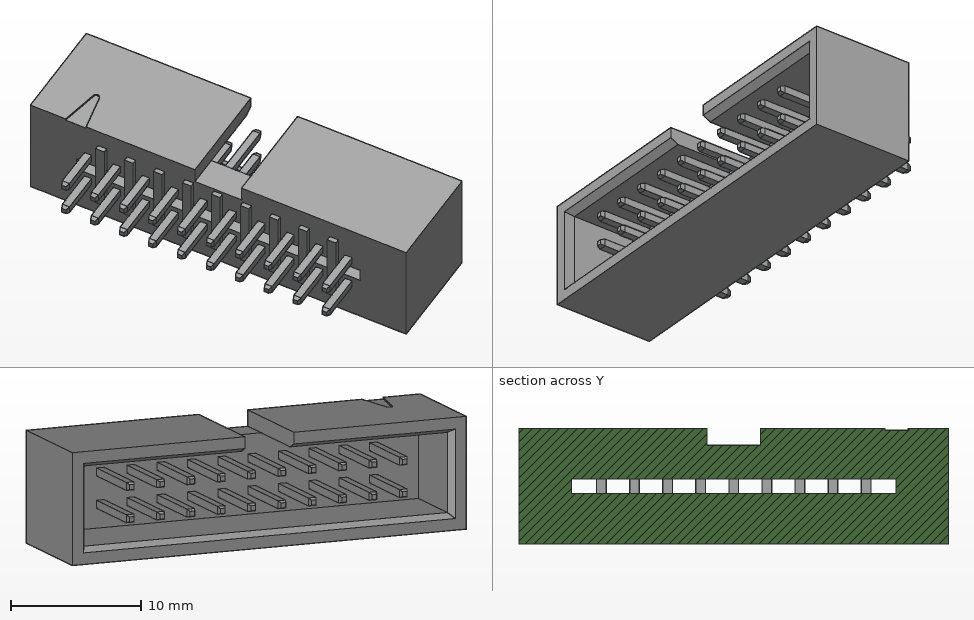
import cadquery as cq
import math


LENGTH = 33.02
DEPTH = 8.88
HEIGHT = 8.88
WALL = 1.3
BASE_THICKNESS = 2.6
LEAD_IN_DEPTH = 0.7
LEAD_IN_WIDTH = 0.35
KEY_SLOT_WIDTH = 4.1

COLUMNS = 10
ROWS = 2
PITCH = 2.55
PIN_SIZE = 0.63
PIN_TIP_SIZE = 0.4
PIN_TIP_LENGTH = 0.33
TAIL_LENGTH = 3.83
MOUTH_CLEARANCE = 0.2

GROOVE_LENGTH = 24.9
GROOVE_HEIGHT = 1.1
GROOVE_DEPTH = BASE_THICKNESS / 2
RIB_WIDTH = 0.75
RIB_HEIGHT = 5.88
RIB_PROJECTION = 0.4

ARROW_OFFSET = 4.0
ARROW_WIDTH = 1.78
ARROW_LENGTH = 3.5
ARROW_TIP_RADIUS = 0.25
ARROW_DEPTH = 0.13


def box(x_size, y_start, y_end, z_size):
    """Box centred on the Y axis, from y_start to y_end."""
    return cq.Workplane("XY").box(x_size, y_end - y_start, z_size).translate((0, (y_start + y_end) / 2, 0))


def tapered_bar(x_start, z_start, y_start, x_end, z_end, y_end):
    """Loft along Y between two rectangles centred on the Y axis."""
    return (
        cq.Workplane("XZ", origin=(0, y_start, 0))
        .rect(x_start, z_start)
        .workplane(offset=y_start - y_end)
        .rect(x_end, z_end)
        .loft(ruled=True)
    )


def centred_positions(count):
    """Positions one pitch apart, centred on zero."""
    return [(i - (count - 1) / 2) * PITCH for i in range(count)]


def make_housing():
    cavity_length = LENGTH - 2 * WALL
    cavity_height = HEIGHT - 2 * WALL
    cavity = box(cavity_length, BASE_THICKNESS, DEPTH, cavity_height)
    lead_in = tapered_bar(
        cavity_length, cavity_height, DEPTH - LEAD_IN_DEPTH,
        cavity_length + 2 * LEAD_IN_WIDTH, cavity_height + 2 * LEAD_IN_WIDTH, DEPTH,
    )
    key_slot = box(KEY_SLOT_WIDTH, 0, DEPTH, WALL).translate((0, 0, (HEIGHT - WALL) / 2))
    groove = box(GROOVE_LENGTH, 0, GROOVE_DEPTH, GROOVE_HEIGHT)
    return box(LENGTH, 0, DEPTH, HEIGHT).cut(cavity).cut(lead_in).cut(key_slot).cut(groove)


def make_arrow():
    """Triangular recess with its base on the rear edge and a rounded tip."""
    half_base = ARROW_WIDTH / 2
    tip_centre = ARROW_LENGTH - ARROW_TIP_RADIUS
    angle_to_tip_centre = math.atan2(half_base, tip_centre)
    lean = angle_to_tip_centre - math.asin(ARROW_TIP_RADIUS / math.hypot(half_base, tip_centre))
    tangent_x = ARROW_TIP_RADIUS * math.cos(lean)
    tangent_y = tip_centre + ARROW_TIP_RADIUS * math.sin(lean)
    return (
        cq.Workplane("XY", origin=(ARROW_OFFSET - LENGTH / 2, 0, HEIGHT / 2))
        .moveTo(-half_base, 0)
        .lineTo(half_base, 0)
        .lineTo(tangent_x, tangent_y)
        .threePointArc((0, ARROW_LENGTH), (-tangent_x, tangent_y))
        .close()
        .extrude(-ARROW_DEPTH)
    )


def make_pin():
    """Square pin with a tapered tip at each end."""
    tail_end = -TAIL_LENGTH
    mating_end = DEPTH - MOUTH_CLEARANCE
    shank_start = tail_end + PIN_TIP_LENGTH
    shank_end = mating_end - PIN_TIP_LENGTH
    shank = box(PIN_SIZE, shank_start, shank_end, PIN_SIZE)
    tail_tip = tapered_bar(PIN_TIP_SIZE, PIN_TIP_SIZE, tail_end, PIN_SIZE, PIN_SIZE, shank_start)
    mating_tip = tapered_bar(PIN_SIZE, PIN_SIZE, shank_end, PIN_TIP_SIZE, PIN_TIP_SIZE, mating_end)
    return shank.union(tail_tip).union(mating_tip)


result = make_housing().cut(make_arrow())

rib = box(RIB_WIDTH, -RIB_PROJECTION, 0, RIB_HEIGHT)
for x in centred_positions(COLUMNS - 1):
    result = result.union(rib.translate((x, 0, 0)))

pin = make_pin()
for x in centred_positions(COLUMNS):
    for z in centred_positions(ROWS):
        result = result.union(pin.translate((x, 0, z)))